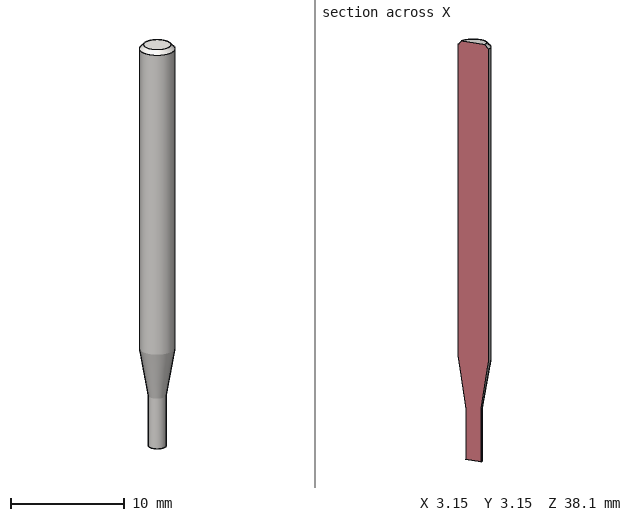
import cadquery as cq

overall_length = 38.1
shank_diameter = 3.15
tip_diameter = 1.6
tip_length = 4.75
taper_length = 4.5
end_chamfer = 0.4

shank_radius = shank_diameter / 2
tip_radius = tip_diameter / 2
taper_top = tip_length + taper_length

half_outline = (
    cq.Workplane("XZ")
    .moveTo(0, 0)
    .lineTo(tip_radius, 0)
    .lineTo(tip_radius, tip_length)
    .lineTo(shank_radius, taper_top)
    .lineTo(shank_radius, overall_length - end_chamfer)
    .lineTo(shank_radius - end_chamfer, overall_length)
    .lineTo(0, overall_length)
    .close()
)

result = half_outline.revolve(360, (0, 0, 0), (0, 1, 0))